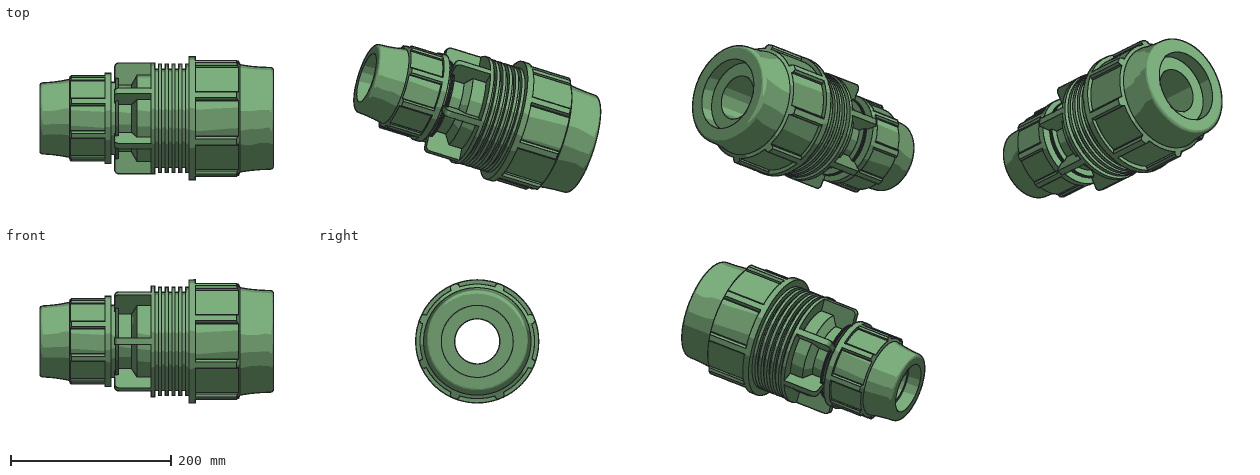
import cadquery as cq
import math


LENGTH = 292.0

SMALL_TIP_RADIUS = 44.5
SMALL_WAIST_X = 20.1
SMALL_WAIST_RADIUS = 45.8
SMALL_TIP_ROUND = 4.0
SMALL_SLEEVE_END_X = 36.8
SMALL_SLEEVE_END_RADIUS = 48.8
SMALL_GRIP_RADIUS = 52.5
SMALL_FLANGE_RADIUS = 113.0 / 2
SMALL_CHAMFER_LENGTH = 2.5
SMALL_FLANGE_X = 81.2
SMALL_FLANGE_THICKNESS = 8.0
SMALL_RIB_SHOULDER_RADIUS = 54.0
SMALL_RIB_WIDTH = 10.2
SMALL_RIB_TIP_WIDTH = 6.5

LARGE_FLANGE_X = 186.0
LARGE_FLANGE_THICKNESS = 8.2
LARGE_FLANGE_RADIUS = 154.0 / 2
LARGE_GRIP_RADIUS = 71.5
LARGE_CHAMFER_LENGTH = 4.5
LARGE_SLEEVE_START_X = 250.0
LARGE_SLEEVE_START_RADIUS = 67.2
LARGE_WAIST_X = 269.2
LARGE_WAIST_RADIUS = 64.5
LARGE_TIP_RADIUS = 63.7
LARGE_TIP_ROUND = 4.5
LARGE_RIB_SHOULDER_RADIUS = 73.5
LARGE_RIB_WIDTH = 11.7
LARGE_RIB_TIP_WIDTH = 7.5

RIB_COUNT = 8

NECK_RADIUS = 90.5 / 2
NECK_END_X = 94.5
BEAD_RADIUS = 50.8
BEAD_STEP_X = 96.5
BEAD_STEP_RADIUS = 50.0
BEAD_END_X = 98.0
TUBE_RADIUS = 41.8
CONE_START_X = 114.5
CONE_END_X = 121.5
SHOULDER_RADIUS = 54.0
COLLAR_X = 139.0
COLLAR_THICKNESS = 4.7
COLLAR_RADIUS = 138.7 / 2
THREAD_ROOT_RADIUS = 123.2 / 2
THREAD_CREST_RADIUS = 135.8 / 2
THREAD_CREST_WIDTH = 4.0
THREAD_PITCH = 8.5
THREAD_COUNT = 5

FIN_COUNT = 6
FIN_X = 93.5
FIN_THICKNESS = 8.0
FIN_CORNER_RADIUS = 5.5

BORE_RADIUS = 28.0
SMALL_SOCKET_RADIUS = 63.0 / 2
LARGE_SOCKET_RADIUS = 90.0 / 2
SOCKET_DEPTH = 17.5


def cylinder(start, end, radius):
    """Solid cylinder on the X axis from start to end."""
    return cq.Workplane("YZ", origin=(start, 0, 0)).circle(radius).extrude(end - start)


def spin(profile):
    """Revolve an XY half profile about the X axis."""
    return profile.close().revolve(360, (0, 0, 0), (1, 0, 0))


def grip(start, end, grip_radius, rib_radius, shoulder_radius, rib_width, tip_width):
    """Round grip with evenly spaced radial ribs whose outer corners are bevelled."""
    body = cylinder(start, end, grip_radius)
    crest_edge = math.sqrt(rib_radius**2 - (tip_width / 2) ** 2)
    rib = (
        cq.Workplane("YZ", origin=(start, 0, 0))
        .moveTo(0, -rib_width / 2)
        .lineTo(shoulder_radius, -rib_width / 2)
        .lineTo(crest_edge, -tip_width / 2)
        .threePointArc((rib_radius, 0), (crest_edge, tip_width / 2))
        .lineTo(shoulder_radius, rib_width / 2)
        .lineTo(0, rib_width / 2)
        .close()
        .extrude(end - start)
    )
    for index in range(RIB_COUNT):
        body = body.union(rib.rotate((0, 0, 0), (1, 0, 0), (index + 0.5) * 360 / RIB_COUNT))
    return body


def small_nut():
    """Curved sleeve, ribbed grip with a chamfered front and flange of the left nut."""
    flange_end = SMALL_FLANGE_X + SMALL_FLANGE_THICKNESS
    sleeve = spin(
        cq.Workplane("XY")
        .moveTo(0, 0)
        .lineTo(0, SMALL_TIP_RADIUS)
        .threePointArc((SMALL_WAIST_X, SMALL_WAIST_RADIUS), (SMALL_SLEEVE_END_X, SMALL_SLEEVE_END_RADIUS))
        .lineTo(SMALL_SLEEVE_END_X, 0)
    )
    sleeve = sleeve.faces("<X").edges().fillet(SMALL_TIP_ROUND)
    envelope = spin(
        cq.Workplane("XY")
        .moveTo(SMALL_SLEEVE_END_X, 0)
        .lineTo(SMALL_SLEEVE_END_X, SMALL_SLEEVE_END_RADIUS)
        .lineTo(SMALL_SLEEVE_END_X + SMALL_CHAMFER_LENGTH, SMALL_FLANGE_RADIUS)
        .lineTo(flange_end, SMALL_FLANGE_RADIUS)
        .lineTo(flange_end, 0)
    )
    ribbed = grip(
        SMALL_SLEEVE_END_X, SMALL_FLANGE_X, SMALL_GRIP_RADIUS,
        SMALL_FLANGE_RADIUS, SMALL_RIB_SHOULDER_RADIUS, SMALL_RIB_WIDTH, SMALL_RIB_TIP_WIDTH,
    )
    flange = cylinder(SMALL_FLANGE_X, flange_end, SMALL_FLANGE_RADIUS)
    return sleeve.union(ribbed.intersect(envelope)).union(flange)


def large_nut():
    """Flange, ribbed grip with a chamfered end and curved sleeve of the right nut."""
    flange_end = LARGE_FLANGE_X + LARGE_FLANGE_THICKNESS
    sleeve = spin(
        cq.Workplane("XY")
        .moveTo(LARGE_SLEEVE_START_X, 0)
        .lineTo(LARGE_SLEEVE_START_X, LARGE_SLEEVE_START_RADIUS)
        .threePointArc((LARGE_WAIST_X, LARGE_WAIST_RADIUS), (LENGTH, LARGE_TIP_RADIUS))
        .lineTo(LENGTH, 0)
    )
    sleeve = sleeve.faces(">X").edges().fillet(LARGE_TIP_ROUND)
    envelope = spin(
        cq.Workplane("XY")
        .moveTo(LARGE_FLANGE_X, 0)
        .lineTo(LARGE_FLANGE_X, LARGE_FLANGE_RADIUS)
        .lineTo(LARGE_SLEEVE_START_X - LARGE_CHAMFER_LENGTH, LARGE_FLANGE_RADIUS)
        .lineTo(LARGE_SLEEVE_START_X, LARGE_SLEEVE_START_RADIUS)
        .lineTo(LARGE_SLEEVE_START_X, 0)
    )
    ribbed = grip(
        flange_end, LARGE_SLEEVE_START_X, LARGE_GRIP_RADIUS,
        LARGE_FLANGE_RADIUS, LARGE_RIB_SHOULDER_RADIUS, LARGE_RIB_WIDTH, LARGE_RIB_TIP_WIDTH,
    )
    flange = cylinder(LARGE_FLANGE_X, flange_end, LARGE_FLANGE_RADIUS)
    return sleeve.union(ribbed.intersect(envelope)).union(flange)


def threaded_body():
    """Neck, stepped bead, tapered tube, collar and ring-shaped threads."""
    neck_start = SMALL_FLANGE_X + SMALL_FLANGE_THICKNESS
    collar_end = COLLAR_X + COLLAR_THICKNESS
    body = spin(
        cq.Workplane("XY")
        .moveTo(neck_start, 0)
        .lineTo(neck_start, NECK_RADIUS)
        .lineTo(NECK_END_X, NECK_RADIUS)
        .lineTo(NECK_END_X, BEAD_RADIUS)
        .lineTo(BEAD_STEP_X, BEAD_RADIUS)
        .lineTo(BEAD_STEP_X, BEAD_STEP_RADIUS)
        .lineTo(BEAD_END_X, BEAD_STEP_RADIUS)
        .lineTo(BEAD_END_X, TUBE_RADIUS)
        .lineTo(CONE_START_X, TUBE_RADIUS)
        .lineTo(CONE_END_X, SHOULDER_RADIUS)
        .lineTo(COLLAR_X, SHOULDER_RADIUS)
        .lineTo(COLLAR_X, COLLAR_RADIUS)
        .lineTo(collar_end, COLLAR_RADIUS)
        .lineTo(collar_end, THREAD_ROOT_RADIUS)
        .lineTo(LARGE_FLANGE_X, THREAD_ROOT_RADIUS)
        .lineTo(LARGE_FLANGE_X, 0)
    )
    for index in range(THREAD_COUNT):
        thread_end = LARGE_FLANGE_X - index * THREAD_PITCH
        body = body.union(cylinder(thread_end - THREAD_CREST_WIDTH, thread_end, THREAD_CREST_RADIUS))
    return body


def fins():
    """Radial fins, trimmed to the collar radius with a rounded front corner."""
    length = COLLAR_X - FIN_X
    envelope = cylinder(FIN_X, COLLAR_X, COLLAR_RADIUS).faces("<X").edges().fillet(FIN_CORNER_RADIUS)
    plates = cq.Workplane("XY")
    for index in range(FIN_COUNT // 2):
        plate = cq.Workplane("XY").box(length, 2 * COLLAR_RADIUS, FIN_THICKNESS)
        plate = plate.translate((FIN_X + length / 2, 0, 0))
        plates = plates.union(plate.rotate((0, 0, 0), (1, 0, 0), index * 360 / FIN_COUNT))
    return plates.intersect(envelope)


def bores():
    """Through bore with a wider pipe socket at each end."""
    bore = cylinder(0, LENGTH, BORE_RADIUS)
    small_socket = cylinder(0, SOCKET_DEPTH, SMALL_SOCKET_RADIUS)
    large_socket = cylinder(LENGTH - SOCKET_DEPTH, LENGTH, LARGE_SOCKET_RADIUS)
    return bore.union(small_socket).union(large_socket)


result = small_nut().union(large_nut()).union(threaded_body()).union(fins()).cut(bores())